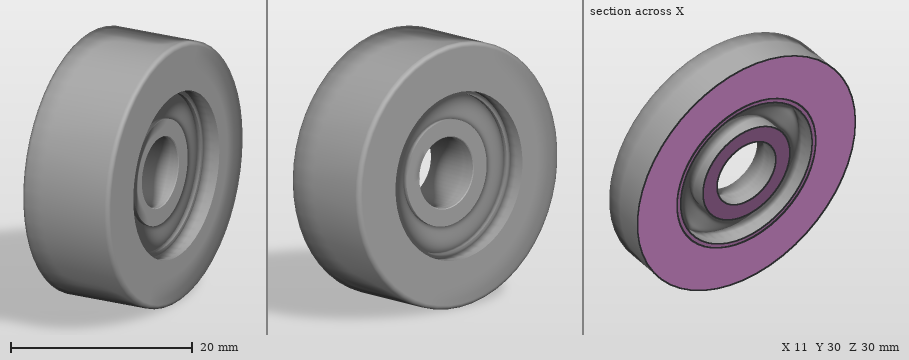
import cadquery as cq

tyre_diameter = 30.0
tyre_width = 11.0
tyre_edge_radius = 0.5

bearing_diameter = 19.0
bearing_width = 7.0
bore_diameter = 8.0
bore_chamfer = 0.1

shield_outer_diameter = 18.0
shield_inner_diameter = 12.0
shield_recess = 0.5
shield_thickness = 0.5

shield_offset = bearing_width / 2 - shield_recess - shield_thickness / 2


def make_ring(outer_diameter, inner_diameter, width, centre_x=0.0):
    """Plain ring about the X axis, centred at centre_x."""
    return (
        cq.Workplane("YZ", origin=(centre_x - width / 2, 0, 0))
        .circle(outer_diameter / 2)
        .circle(inner_diameter / 2)
        .extrude(width)
    )


def make_tyre():
    """Tyre with rounded outer edges and a straight seat for the bearing."""
    blank = cq.Workplane("YZ", origin=(-tyre_width / 2, 0, 0)).circle(tyre_diameter / 2).extrude(tyre_width)
    rounded = blank.edges("%CIRCLE").fillet(tyre_edge_radius)
    seat = cq.Workplane("YZ", origin=(-tyre_width / 2, 0, 0)).circle(bearing_diameter / 2).extrude(tyre_width)
    return rounded.cut(seat)


def make_outer_race():
    """Bearing outer race around the shields."""
    return make_ring(bearing_diameter, shield_outer_diameter, bearing_width)


def make_inner_race():
    """Bearing inner race with a small chamfer at each end of the bore."""
    bore_edges = cq.selectors.RadiusNthSelector(0)
    return make_ring(shield_inner_diameter, bore_diameter, bearing_width).edges(bore_edges).chamfer(bore_chamfer)


def make_shield(side):
    """Flat shield closing the gap between the races; side is -1 or +1 along X."""
    return make_ring(shield_outer_diameter, shield_inner_diameter, shield_thickness, side * shield_offset)


tyre = make_tyre()
outer_race = make_outer_race()
inner_race = make_inner_race()
shields = [make_shield(side).val() for side in (-1, 1)]

result = cq.Compound.makeCompound([tyre.val(), outer_race.val(), inner_race.val(), *shields])